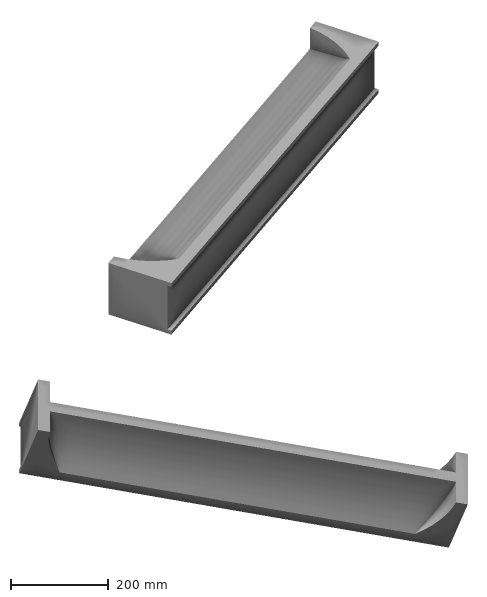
import cadquery as cq
import math

width = 146.0
length = 914.0
height = 133.5

wall = 25.0
pocket_depth = width - wall
pocket_height = (height - wall) / 2
curve_radius = 210.0

groove_depth = 9.0
lip_thickness = 10.0


def arc_midpoint(start, end, radius):
    """Middle of the arc that bulges to the right of the line from start to end."""
    run = end[0] - start[0]
    rise = end[1] - start[1]
    chord = math.hypot(run, rise)
    sagitta = radius - math.sqrt(radius**2 - (chord / 2) ** 2)
    middle_x = (start[0] + end[0]) / 2 + sagitta * rise / chord
    middle_y = (start[1] + end[1]) / 2 - sagitta * run / chord
    return middle_x, middle_y


def upper_pocket():
    """Intersect the floor section with the plan outline to get mitred corners."""
    floor_front = (0, wall / 2)
    floor_back = (pocket_depth, height / 2)
    section = (
        cq.Workplane("XZ")
        .moveTo(*floor_front)
        .threePointArc(arc_midpoint(floor_front, floor_back, curve_radius), floor_back)
        .lineTo(0, height / 2)
        .close()
        .extrude(length / 2, both=True)
    )

    front_y = length / 2 - wall
    back_y = front_y - pocket_height
    left_front = (0, -front_y)
    left_back = (pocket_depth, -back_y)
    middle_x, middle_y = arc_midpoint(left_front, left_back, curve_radius)
    plan = (
        cq.Workplane("XY")
        .moveTo(*left_front)
        .threePointArc((middle_x, middle_y), left_back)
        .lineTo(pocket_depth, back_y)
        .threePointArc((middle_x, -middle_y), (0, front_y))
        .close()
        .extrude(height / 2)
    )
    return section.intersect(plan)


def rear_groove():
    return cq.Workplane("XY").box(
        groove_depth, length, height - 2 * lip_thickness
    ).translate((width - groove_depth / 2, 0, 0))


block = cq.Workplane("XY").box(width, length, height).translate((width / 2, 0, 0))
pocket = upper_pocket()
result = block.cut(pocket).cut(pocket.mirror("XY")).cut(rear_groove())